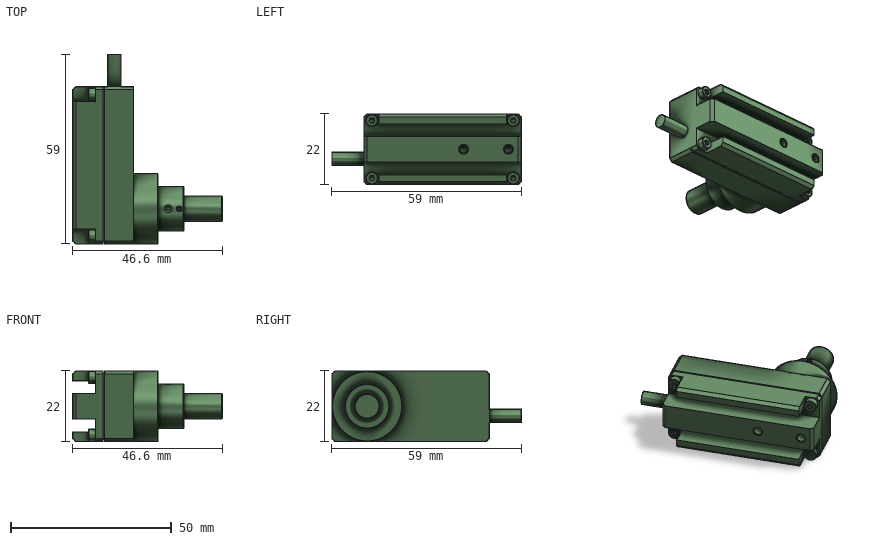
import cadquery as cq
import math


body_depth = 19.0
body_length = 49.0
body_height = 22.0
body_chamfer = 1.0
body_y_min = -body_height / 2
body_y_max = body_y_min + body_length
body_y_mid = (body_y_min + body_y_max) / 2

rail_depth = 7.1
rib_height = 8.0
lip_thickness = 3.05
lip_end_gap = 4.65

groove_x = 9.5
groove_width = 0.5
groove_depth = 0.65

rib_hole_dia = 2.5
rib_hole_mouth_dia = 3.0
rib_hole_depth = 6.0
rib_hole_end_gap = 4.0
rib_hole_spacing = 14.0

screw_head_dia = 3.8
screw_head_height = 2.1
screw_head_chamfer = 0.1
screw_spacing_y = 44.0
screw_spacing_z = 18.0
socket_flats = 1.55
socket_depth = 1.0

flange_dia = body_height
flange_length = 7.6
hub_dia = 14.0
hub_length = 8.0
shaft_dia = 8.0
shaft_length = 12.0
step_chamfer = 0.25
shaft_chamfer = 0.3
hub_start = body_depth + flange_length
shaft_start = hub_start + hub_length

dimple_x = 29.7
dimple_mouth_dia = 2.5
dimple_floor_dia = 1.25
dimple_depth = 0.7
set_screw_x = 33.1
set_screw_bore_dia = 1.65
set_screw_bore_depth = 0.6
set_screw_socket_flats = 0.9
set_screw_socket_depth = 0.7

cable_dia = 4.2
cable_length = 10.0
cable_x = 13.0
cable_z = -3.0

drill_point_angle = 90


def box(x_range, y_range, z_range):
    """Axis-aligned block given its limits along each axis."""
    limits = (x_range, y_range, z_range)
    sizes = [high - low for low, high in limits]
    corner = tuple(low for low, high in limits)
    return cq.Workplane("XY").box(*sizes, centered=False).translate(corner)


def cylinder_x(x, y, z, dia, length):
    """Cylinder starting at (x, y, z) and running toward +X."""
    return cq.Workplane("YZ", origin=(x, y, z)).circle(dia / 2).extrude(length)


def drill_point_length(dia):
    return dia / 2 / math.tan(math.radians(drill_point_angle / 2))


def hexagon_corner_dia(flats):
    return flats / math.cos(math.pi / 6)


def cone(point, direction, start_dia, end_dia, length):
    """Tapered solid from start_dia at the point to end_dia along the direction."""
    solid = cq.Solid.makeCone(start_dia / 2, end_dia / 2, length, cq.Vector(*point), cq.Vector(*direction))
    return cq.Workplane(obj=solid)


def make_housing():
    block = box((0, body_depth), (body_y_min, body_y_max), (-body_height / 2, body_height / 2))
    block = block.edges("|X").chamfer(body_chamfer)

    for side in (-1, 1):
        channel_z = sorted((side * rib_height / 2, side * (body_height / 2 - lip_thickness)))
        block = block.cut(box((0, rail_depth), (body_y_min, body_y_max), channel_z))
        lip_z = sorted((side * rib_height / 2, side * body_height / 2))
        block = block.cut(box((0, rail_depth), (body_y_min, body_y_min + lip_end_gap), lip_z))
        block = block.cut(box((0, rail_depth), (body_y_max - lip_end_gap, body_y_max), lip_z))

    return block.faces("<X").edges(">Y or <Y or >Z or <Z").chamfer(body_chamfer)


def make_groove():
    x_range = (groove_x, groove_x + groove_width)
    outer = box(x_range, (body_y_min, body_y_max), (-body_height / 2, body_height / 2))
    inner_z = body_height / 2 - groove_depth
    core = box(x_range, (body_y_min + groove_depth, body_y_max), (-inner_z, inner_z))
    return outer.cut(core)


def make_rib_hole(y):
    mouth_depth = (rib_hole_mouth_dia - rib_hole_dia) / 2
    hole = cylinder_x(0, y, 0, rib_hole_dia, rib_hole_depth)
    mouth = cone((0, y, 0), (1, 0, 0), rib_hole_mouth_dia, rib_hole_dia, mouth_depth)
    point = cone((rib_hole_depth, y, 0), (1, 0, 0), rib_hole_dia, 0, drill_point_length(rib_hole_dia))
    return hole.union(mouth).union(point)


def make_screw_head(y, z):
    face_x = rail_depth - screw_head_height
    head = cylinder_x(face_x, y, z, screw_head_dia, screw_head_height)
    head = head.faces("<X").edges().chamfer(screw_head_chamfer)
    socket = cq.Workplane("YZ", origin=(face_x, y, z))
    socket = socket.polygon(6, hexagon_corner_dia(socket_flats)).extrude(socket_depth)
    point_length = drill_point_length(socket_flats)
    point = cone((face_x + socket_depth, y, z), (1, 0, 0), socket_flats, 0, point_length)
    return head.cut(socket).cut(point)


def make_output():
    flange = cylinder_x(body_depth, 0, 0, flange_dia, flange_length)
    flange = flange.faces(">X").edges().chamfer(step_chamfer)
    hub = cylinder_x(hub_start, 0, 0, hub_dia, hub_length).faces(">X").edges().chamfer(step_chamfer)
    shaft = cylinder_x(shaft_start, 0, 0, shaft_dia, shaft_length)
    shaft = shaft.faces(">X").edges().chamfer(shaft_chamfer)

    hub_top = hub_dia / 2
    dimple = cone((dimple_x, 0, hub_top), (0, 0, -1), dimple_mouth_dia, dimple_floor_dia, dimple_depth)
    bore = cq.Workplane("XY", origin=(set_screw_x, 0, hub_top)).circle(set_screw_bore_dia / 2)
    bore = bore.extrude(-set_screw_bore_depth)
    socket = cq.Workplane("XY", origin=(set_screw_x, 0, hub_top - set_screw_bore_depth))
    socket = socket.polygon(6, hexagon_corner_dia(set_screw_socket_flats)).extrude(-set_screw_socket_depth)
    hub = hub.cut(dimple).cut(bore).cut(socket)
    return flange.union(hub).union(shaft)


def make_cable():
    profile = cq.Workplane("XZ", origin=(cable_x, body_y_max, cable_z)).circle(cable_dia / 2)
    return profile.extrude(-cable_length)


result = make_housing().cut(make_groove())

first_hole_y = body_y_min + rib_hole_end_gap
for hole_y in (first_hole_y, first_hole_y + rib_hole_spacing):
    result = result.cut(make_rib_hole(hole_y))

for y_side in (-1, 1):
    for z_side in (-1, 1):
        screw_y = body_y_mid + y_side * screw_spacing_y / 2
        screw_z = z_side * screw_spacing_z / 2
        result = result.union(make_screw_head(screw_y, screw_z))

result = result.union(make_output()).union(make_cable())